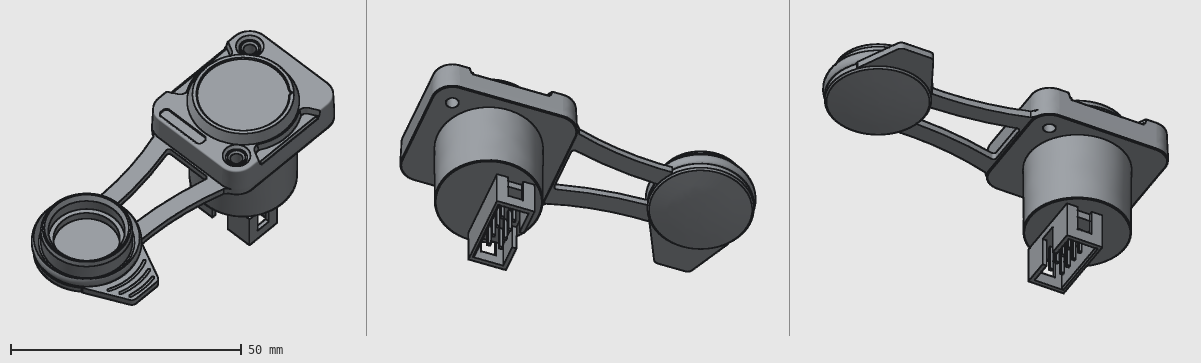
import cadquery as cq
import math


overall_length = 77.75
overall_width = 32.2

flange_width = 28.4
flange_length = 33.3
flange_corner = 4.7
gasket_top = 1.95
flange_top = 7.9
flange_draft = 0.2
gasket_edge = 0.2
flange_edge = 0.4

bezel_base_radius = 12.2
bezel_top_radius = 11.05
bezel_top = 10.35
plug_edge_radius = 10.2
plug_face_radius = 9.95
plug_depth = 0.3
key_corner = (7.3, 7.7)
key_size = 1.25

barrel_top_radius = 11.8
barrel_bottom_radius = 11.7
barrel_bottom = -17.9
barrel_edge = 0.2

hole_x = 9.5
hole_y = 12.0
hole_radius = 1.4
sink_top_radius = 3.0
sink_floor_radius = 2.3
sink_depth = 0.6
lead_in_radius = 1.95
lead_in_depth = 0.5

pocket_floor = 6.4
pocket_half_length = 9.3
pocket_inner_x = 11.05
pocket_inner_y = 7.7
pocket_corner = 1.25
pocket_taper = 15
pocket_wall_top_radius = 12.5
pocket_wall_floor_radius = 12.9
pocket_edge = 0.5

plate_x = -4.6
plate_y = -14.15
plate_length = 12.4
plate_width = 2.6
plate_corner = 0.9
plate_depth = 0.4

cover_radius = 12.0
cover_y = flange_length / 2 - overall_length + cover_radius
disc_radius = 11.6
disc_bottom_radius = 11.2
disc_bottom = -0.2
disc_top = 1.6
waist_radius = 11.35
waist_z = 1.9
dome_depth = 0.9
cover_flange_bottom = 2.2
cover_flange_top = 4.75
cover_crest_radius = 11.5
cover_neck_radius = 11.65
groove_floor = 3.1
groove_radius = 10.4
rim_radius = 9.95
rim_top_radius = 9.6
rim_crest_radius = 9.2
rim_bore_radius = 8.3
rim_bevel = 1.1
rim_top = 8.2
ledge_z = 4.3
well_radius = 7.2
well_floor = 2.25

strap_bottom = 0.2
strap_end_y = cover_y + 9.3
strap_shoulder = (12.0, -15.85)
strap_root = (10.6, -17.1)
strap_bend = (8.5, -26.05)
strap_neck = (7.5, -36.5)
window_root = (6.1, -17.2)
window_bend = (4.1, -26.8)
window_end = (3.1, strap_end_y)
window_corner = 0.7

tab_end_x = overall_width - flange_width / 2
tab_half_end = 4.05
tab_root_x = 7.55
tab_half_root = 9.1
tab_corner = 1.4
rib_radii = (13.3, 15.15, 16.95)
rib_half_lengths = (5.6, 4.4, 3.5)
rib_width = 0.6
rib_height = 0.15
rib_round = 0.12

shell_length = 17.8
shell_width = 8.7
shell_y = -2.95
shell_top = -19.0
shell_bottom = -28.0
shell_floor = -20.8
shell_wall = 1.0
shell_lead_in = 0.4
side_slot_width = 3.5
side_slot_bottom = -25.2
front_slot_width = 4.6
pin_pitch = 2.7
pin_columns = 4
pin_rows = 2
pin_size = 0.7
pin_bottom = -27.0
overlap = 0.4


def revolve(profile):
    """Revolve a closed (radius, z) outline about the Z axis."""
    return profile.close().revolve(360, (0, 0, 0), (0, 1, 0))


def block(x_range, y_range, z_range):
    """Axis-aligned box given by its limits."""
    sizes = [high - low for low, high in (x_range, y_range, z_range)]
    corner = (x_range[0], y_range[0], z_range[0])
    return cq.Workplane("XY").box(*sizes, centered=False).translate(corner)


def make_flange():
    outline = cq.Sketch().rect(flange_width, flange_length).vertices().fillet(flange_corner)
    gasket = cq.Workplane("XY").placeSketch(outline).extrude(gasket_top)
    gasket = gasket.faces("<Z").edges().chamfer(gasket_edge)
    height = flange_top - gasket_top
    draft_angle = math.degrees(math.atan(flange_draft / height))
    housing = cq.Workplane("XY", origin=(0, 0, gasket_top)).placeSketch(outline)
    housing = housing.extrude(height, taper=draft_angle)
    housing = housing.faces(">Z").edges().fillet(flange_edge)
    return gasket.union(housing)


def make_socket():
    """Barrel, core and bezel ring as one turned body with a recessed plug face."""
    plug_z = bezel_top - plug_depth
    socket = revolve(
        cq.Workplane("XZ")
        .moveTo(0, barrel_bottom)
        .lineTo(barrel_bottom_radius - barrel_edge, barrel_bottom)
        .lineTo(barrel_bottom_radius, barrel_bottom + barrel_edge)
        .lineTo(barrel_top_radius, 0)
        .lineTo(barrel_top_radius, flange_top)
        .lineTo(bezel_base_radius, flange_top)
        .lineTo(bezel_top_radius, bezel_top)
        .lineTo(plug_edge_radius, bezel_top)
        .lineTo(plug_face_radius, plug_z)
        .lineTo(0, plug_z)
    )
    key_x, key_y = key_corner
    key = block((key_x - key_size, key_x), (key_y - key_size, key_y), (plug_z, bezel_top))
    return socket.cut(key)


def make_mounting_hole():
    sink_floor = flange_top - sink_depth
    return revolve(
        cq.Workplane("XZ")
        .lineTo(hole_radius, 0)
        .lineTo(hole_radius, sink_floor - lead_in_depth)
        .lineTo(lead_in_radius, sink_floor)
        .lineTo(sink_floor_radius, sink_floor)
        .lineTo(sink_top_radius, flange_top)
        .lineTo(0, flange_top)
    )


def make_finger_pocket():
    """Return the cutter for the pocket on the +X side, with a bevel along its outer edge."""
    outer_x = flange_width / 2
    outline = [
        (outer_x, pocket_half_length),
        (pocket_inner_x, pocket_inner_y),
        (pocket_inner_x, -pocket_inner_y),
        (outer_x, -pocket_half_length),
    ]
    height = flange_top - pocket_floor
    sketch = cq.Sketch().polygon(outline + outline[:1]).vertices("<X").fillet(pocket_corner)
    pocket = cq.Workplane("XY", origin=(0, 0, pocket_floor)).placeSketch(sketch)
    pocket = pocket.extrude(height, taper=-pocket_taper)
    wall = cq.Solid.makeCone(
        pocket_wall_floor_radius, pocket_wall_top_radius, height, pnt=cq.Vector(0, 0, pocket_floor)
    )
    edge_x = outer_x - flange_draft
    bevel = (
        cq.Workplane("XZ")
        .moveTo(edge_x - pocket_edge, pocket_floor)
        .lineTo(outer_x, pocket_floor)
        .lineTo(outer_x, pocket_floor - pocket_edge)
        .lineTo(edge_x, pocket_floor - pocket_edge)
        .close()
        .extrude(pocket_half_length - pocket_edge, both=True)
    )
    return pocket.cut(cq.Workplane(wall)).union(bevel)


def make_name_plate():
    plate = cq.Workplane("XY").rect(plate_length, plate_width).extrude(plate_depth)
    plate = plate.edges("|Z").fillet(plate_corner)
    return plate.translate((plate_x, plate_y, flange_top - plate_depth))


def mirrored(point):
    """Reflect a plan point to the -X side."""
    return (-point[0], point[1])


def make_strap():
    """Two curved legs, left by cutting a window out of a waisted web."""
    height = gasket_top - strap_bottom
    strap_end = (strap_neck[0], strap_end_y)
    base = cq.Workplane("XY", origin=(0, 0, strap_bottom))
    strap = (
        base.moveTo(*mirrored(strap_shoulder))
        .lineTo(*mirrored(strap_root))
        .threePointArc(mirrored(strap_bend), mirrored(strap_neck))
        .lineTo(*mirrored(strap_end))
        .lineTo(*strap_end)
        .lineTo(*strap_neck)
        .threePointArc(strap_bend, strap_root)
        .lineTo(*strap_shoulder)
        .close()
        .extrude(height)
    )
    window = (
        base.moveTo(*mirrored(window_root))
        .threePointArc(mirrored(window_bend), mirrored(window_end))
        .lineTo(*window_end)
        .threePointArc(window_bend, window_root)
        .close()
        .extrude(height)
    )
    window = window.edges("|Z and >Y").fillet(window_corner)
    return strap.cut(window)


def make_cover():
    cover_flange_middle = (cover_flange_bottom + cover_flange_top) / 2
    dome_mid_share = 0.75
    body = revolve(
        cq.Workplane("XZ")
        .moveTo(0, disc_bottom - dome_depth)
        .threePointArc(
            (disc_bottom_radius / 2, disc_bottom - dome_mid_share * dome_depth),
            (disc_bottom_radius, disc_bottom),
        )
        .lineTo(disc_radius, strap_bottom)
        .lineTo(disc_radius, disc_top)
        .lineTo(waist_radius, waist_z)
        .lineTo(cover_neck_radius, cover_flange_bottom)
        .threePointArc((cover_radius, cover_flange_middle), (cover_crest_radius, cover_flange_top))
        .lineTo(groove_radius, groove_floor)
        .lineTo(rim_radius, groove_floor)
        .lineTo(rim_radius, rim_top - rim_bevel)
        .lineTo(rim_top_radius, rim_top)
        .lineTo(rim_crest_radius, rim_top)
        .lineTo(rim_bore_radius, rim_top - rim_bevel)
        .lineTo(rim_bore_radius, ledge_z)
        .lineTo(well_radius, ledge_z)
        .lineTo(well_radius, well_floor)
        .lineTo(0, well_floor)
    )
    return body.union(make_pull_tab()).translate((0, cover_y, 0))


def make_pull_tab():
    """Pull tab on the +X side of the cover; the cover centre is the origin."""
    outline = [
        (0, tab_half_root),
        (tab_root_x, tab_half_root),
        (tab_end_x, tab_half_end),
        (tab_end_x, -tab_half_end),
        (tab_root_x, -tab_half_root),
        (0, -tab_half_root),
    ]
    base = cq.Workplane("XY", origin=(0, 0, strap_bottom))
    tab = base.polyline(outline).close().extrude(gasket_top - strap_bottom)
    tab = tab.edges("|Z and >X").fillet(tab_corner)
    tab = tab.cut(cq.Workplane("XY").circle(well_radius).extrude(gasket_top))
    for radius, half_length in zip(rib_radii, rib_half_lengths):
        tab = tab.union(make_grip_rib(radius, half_length))
    return tab


def make_grip_rib(radius, half_length):
    """Round-ended rib along an arc about the cover axis."""
    half_angle = math.asin(half_length / radius)
    inner = radius - rib_width / 2
    outer = radius + rib_width / 2

    def point(r, angle):
        return (r * math.cos(angle), r * math.sin(angle))

    def cap(side):
        angle = side * half_angle
        x, y = point(radius, angle)
        reach = side * rib_width / 2
        return (x - reach * math.sin(angle), y + reach * math.cos(angle))

    rib = (
        cq.Workplane("XY", origin=(0, 0, strap_bottom))
        .moveTo(*point(inner, -half_angle))
        .threePointArc((inner, 0), point(inner, half_angle))
        .threePointArc(cap(1), point(outer, half_angle))
        .threePointArc((outer, 0), point(outer, -half_angle))
        .threePointArc(cap(-1), point(inner, -half_angle))
        .close()
        .extrude(gasket_top + rib_height - strap_bottom)
    )
    return rib.faces(">Z").edges().fillet(rib_round)


def make_connector():
    """Shell open at the bottom, slotted on three sides, hanging from its pins."""
    half_length = shell_length / 2
    y_front = shell_y - shell_width / 2
    y_back = shell_y + shell_width / 2
    shell = block((-half_length, half_length), (y_front, y_back), (shell_bottom, shell_top))
    cavity_x = (-half_length + shell_wall, half_length - shell_wall)
    cavity_y = (y_front + shell_wall, y_back - shell_wall)
    shell = shell.cut(block(cavity_x, cavity_y, (shell_bottom, shell_floor)))
    back_lip = cq.selectors.NearestToPointSelector((0, cavity_y[1], shell_bottom))
    shell = shell.edges(back_lip).chamfer(shell_lead_in)

    slot_y = (shell_y - side_slot_width / 2, shell_y + side_slot_width / 2)
    for side_x in ((-half_length, cavity_x[0]), (cavity_x[1], half_length)):
        shell = shell.cut(block(side_x, slot_y, (side_slot_bottom, shell_top)))
    front_x = (-front_slot_width / 2, front_slot_width / 2)
    shell = shell.cut(block(front_x, (y_front, cavity_y[0]), (shell_bottom, shell_floor)))

    pins = (
        cq.Workplane("XY", origin=(0, shell_y, pin_bottom))
        .rarray(pin_pitch, pin_pitch, pin_columns, pin_rows)
        .rect(pin_size, pin_size)
        .extrude(barrel_bottom + overlap - pin_bottom)
    )
    return shell.union(pins)


result = make_flange().union(make_socket())

for side in (1, -1):
    result = result.cut(make_mounting_hole().translate((-side * hole_x, side * hole_y, 0)))

finger_pocket = make_finger_pocket()
result = result.cut(finger_pocket).cut(finger_pocket.mirror("YZ"))
result = result.cut(make_name_plate())

result = result.union(make_strap()).union(make_cover()).union(make_connector())